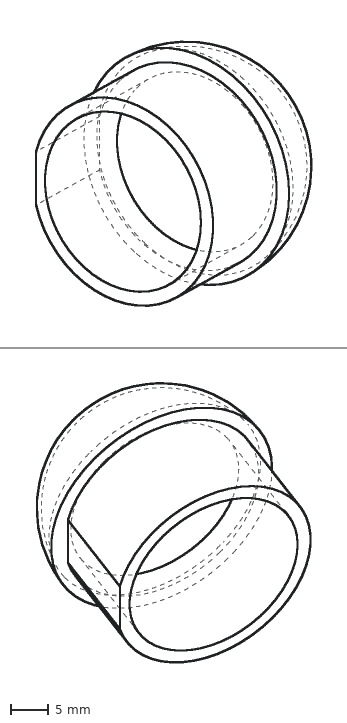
import cadquery as cq

dome_radius = 16.85
plug_length = 15.0
plug_diameter = 29.62
flat_distance = 14.3
bore_diameter = 25.6
dome_wall = 0.6
ledge_thickness = 2.0
bore_radius = bore_diameter / 2
cavity_radius = dome_radius - dome_wall


def dome_segment(radius, base):
    """Part of a sphere centred on the origin that lies beyond Y = base."""
    base_radius = (radius**2 - base**2) ** 0.5
    profile = (
        cq.Workplane("XY")
        .moveTo(0, base)
        .lineTo(base_radius, base)
        .radiusArc((0, radius), -radius)
        .close()
    )
    return profile.revolve(360, (0, 0, 0), (0, 1, 0))


def flatted_plug():
    """Cylinder on the -Y side with one flat parallel to its axis."""
    plug = cq.Workplane("XZ").circle(plug_diameter / 2).extrude(plug_length)
    kept_side = (
        cq.Workplane("XY")
        .box(plug_diameter, plug_length, plug_diameter, centered=(False, False, True))
        .translate((-flat_distance, -plug_length, 0))
    )
    return plug.intersect(kept_side)


bore = (
    cq.Workplane("XZ", origin=(0, ledge_thickness, 0))
    .circle(bore_radius)
    .extrude(plug_length + ledge_thickness)
)
cavity = dome_segment(cavity_radius, ledge_thickness)

result = dome_segment(dome_radius, 0).union(flatted_plug()).cut(cavity).cut(bore)